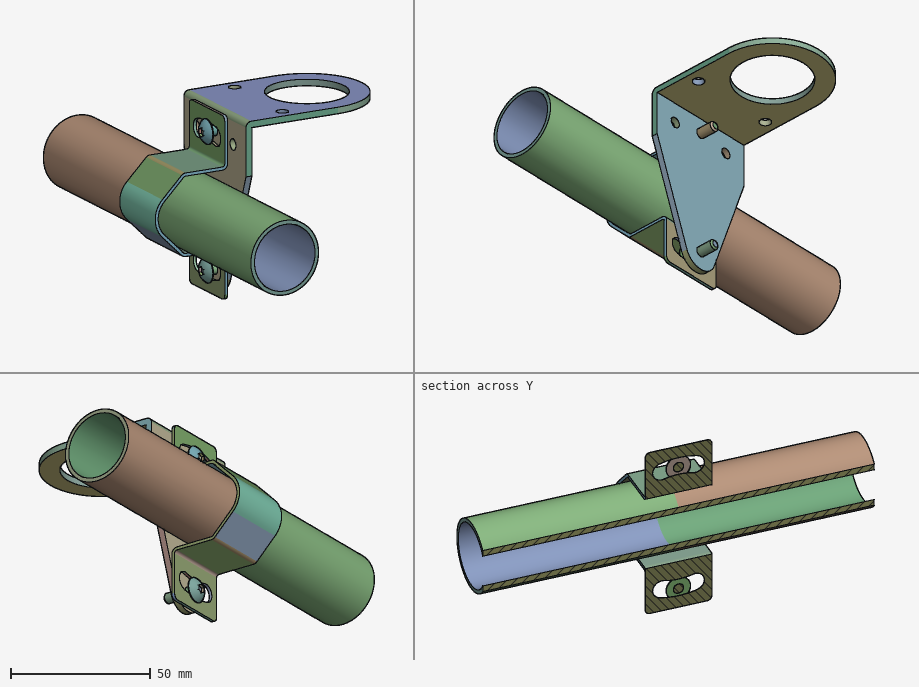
import cadquery as cq
import math


tube_length = 152.0
tube_diameter = 28.0
tube_wall = 1.5
tube_radius = tube_diameter / 2

bracket_width = 45.5
bracket_thickness = 2.5
bracket_bend_radius = 2.2
bracket_top = 35.0
bracket_front = tube_radius
ring_distance = 38.0
ring_hole_diameter = 30.5
flange_hole_diameter = 4.5
flange_hole_spacing = 35.0
flange_hole_distance = 18.0
taper_start = 20.6
web_tip_radius = 7.6
web_hole_diameter = 4.2
web_hole_spacing = 26.5
web_hole_height = 24.1

screw_height = 26.0
screw_diameter = 4.0
screw_tip_chamfer = 0.7
screw_projection = 9.8
head_diameter = 9.5
head_height = 2.75
head_rim = 0.3
socket_width = 3.0
socket_depth = 1.3

clamp_width = 26.0
clamp_height = 69.0
clamp_thickness = 1.2
clamp_center = 0.5
clamp_gap = 2.05
clamp_opening = 29.0
clamp_reach = 31.95
nose_radius = 10.0
bend_radius = 1.0
foot_corner_radius = 2.0
slot_width = 7.0
slot_half_angle = 14.5

foot_back = bracket_front - clamp_gap
foot_front = foot_back - clamp_thickness


def make_tube():
    outer = cq.Workplane("YZ").circle(tube_radius).circle(tube_radius - tube_wall)
    return outer.extrude(tube_length / 2, both=True)


def make_flange():
    """Horizontal leg with a round end, a large hole and two small holes."""
    half_width = bracket_width / 2
    ring_y = bracket_front + ring_distance
    flange = (
        cq.Workplane("XY", origin=(0, 0, bracket_top))
        .moveTo(-half_width, bracket_front)
        .lineTo(half_width, bracket_front)
        .lineTo(half_width, ring_y)
        .threePointArc((0, ring_y + half_width), (-half_width, ring_y))
        .close()
        .extrude(-bracket_thickness)
    )
    small_hole_y = bracket_front + flange_hole_distance
    holes = (
        cq.Workplane("XY", origin=(0, 0, bracket_top))
        .pushPoints([(0, ring_y)])
        .circle(ring_hole_diameter / 2)
        .pushPoints([(side * flange_hole_spacing / 2, small_hole_y) for side in (-1, 1)])
        .circle(flange_hole_diameter / 2)
        .extrude(-bracket_thickness)
    )
    return flange.cut(holes)


def make_web():
    """Vertical leg whose sides taper tangentially into a round tip about the lower screw."""
    half_width = bracket_width / 2
    shoulder_z = bracket_top - taper_start
    drop = shoulder_z + screw_height
    taper_angle = math.atan2(half_width, drop) - math.asin(web_tip_radius / math.hypot(half_width, drop))
    tangent_x = web_tip_radius * math.cos(taper_angle)
    tangent_z = -screw_height - web_tip_radius * math.sin(taper_angle)
    web = (
        cq.Workplane("XZ", origin=(0, bracket_front, 0))
        .moveTo(-half_width, bracket_top)
        .lineTo(half_width, bracket_top)
        .lineTo(half_width, shoulder_z)
        .lineTo(tangent_x, tangent_z)
        .threePointArc((0, -screw_height - web_tip_radius), (-tangent_x, tangent_z))
        .lineTo(-half_width, shoulder_z)
        .close()
        .extrude(-bracket_thickness)
    )
    holes = (
        cq.Workplane("XZ", origin=(0, bracket_front, 0))
        .pushPoints([(side * web_hole_spacing / 2, web_hole_height) for side in (-1, 1)])
        .circle(web_hole_diameter / 2)
        .extrude(-bracket_thickness)
    )
    return web.cut(holes)


def make_bracket():
    bend_edge = cq.selectors.NearestToPointSelector((0, bracket_front, bracket_top))
    return make_flange().union(make_web()).edges(bend_edge).fillet(bracket_bend_radius)


def clamp_profile(offset):
    """Points of one side of the strip, upper half, from foot end to nose.

    offset is 0 for the inner side of the strip and clamp_thickness for the outer side.
    """
    foot_y = foot_back - offset
    top_z = clamp_opening / 2 + offset
    radius = nose_radius - clamp_thickness + offset
    nose_y = bracket_front - clamp_reach + nose_radius
    corner_y = nose_y - radius * math.sqrt(2) + top_z
    tangent = radius * math.sqrt(0.5)
    return [
        (foot_y, clamp_height / 2),
        (foot_y, top_z),
        (corner_y, top_z),
        (nose_y - tangent, tangent),
        (nose_y - radius, 0),
    ]


def mirrored(point):
    y, z = point
    return (y, -z)


def fillet_bends(strip, corners, radius):
    """Round the bends at the given (y, z) corners and at their mirror images below."""
    for y, z in corners:
        for side in (-1, 1):
            edge = cq.selectors.NearestToPointSelector((0, y, side * z))
            strip = strip.edges(edge).fillet(radius)
    return strip


def make_clamp():
    inner = clamp_profile(0)
    outer = clamp_profile(clamp_thickness)
    inner_nose = inner.pop()
    outer_nose = outer.pop()
    outline = cq.Workplane("YZ").polyline(inner)
    outline = outline.threePointArc(inner_nose, mirrored(inner[-1]))
    for point in inner[-2::-1] + outer:
        outline = outline.lineTo(*mirrored(point))
    outline = outline.threePointArc(outer_nose, outer[-1])
    for point in outer[-2::-1]:
        outline = outline.lineTo(*point)
    strip = outline.close().extrude(clamp_width / 2, both=True)

    inner_heel, inner_shoulder = inner[1:3]
    outer_heel, outer_shoulder = outer[1:3]
    strip = fillet_bends(strip, [outer_heel, inner_shoulder], bend_radius)
    strip = fillet_bends(strip, [inner_heel, outer_shoulder], bend_radius + clamp_thickness)
    strip = strip.edges("|Y").edges("<Z or >Z").fillet(foot_corner_radius)
    for turn in (0, 180):
        strip = strip.cut(make_slot().rotate((0, 0, 0), (0, 1, 0), turn))
    return strip.translate((0, 0, clamp_center))


def make_slot():
    """Cutter for the upper curved slot, concentric with the clamp's centre."""
    half = slot_width / 2
    angle = math.radians(slot_half_angle)

    def at(radius, turn):
        return (radius * math.sin(turn), radius * math.cos(turn))

    inner = screw_height - half
    outer = screw_height + half
    end_x, end_z = at(screw_height, angle)
    cap = (end_x + half * math.cos(angle), end_z - half * math.sin(angle))
    return (
        cq.Workplane("XZ", origin=(0, foot_back, 0))
        .moveTo(*at(outer, -angle))
        .threePointArc(at(outer, 0), at(outer, angle))
        .threePointArc(cap, at(inner, angle))
        .threePointArc(at(inner, 0), at(inner, -angle))
        .threePointArc((-cap[0], cap[1]), at(outer, -angle))
        .close()
        .extrude(clamp_thickness)
    )


def make_screw(z):
    """Screw along Y with a domed, hex-socket head resting on the clamp foot."""
    tip_y = bracket_front + screw_projection
    shank_radius = screw_diameter / 2
    head_radius = head_diameter / 2
    rim_y = foot_front - head_rim
    apex_y = foot_front - head_height
    dome_height = head_height - head_rim
    dome_radius = (head_radius**2 + dome_height**2) / (2 * dome_height)
    middle_radius = head_radius / 2
    middle_y = apex_y + dome_radius - math.sqrt(dome_radius**2 - middle_radius**2)
    screw = (
        cq.Workplane("XY", origin=(0, 0, z))
        .moveTo(0, tip_y)
        .lineTo(shank_radius - screw_tip_chamfer, tip_y)
        .lineTo(shank_radius, tip_y - screw_tip_chamfer)
        .lineTo(shank_radius, foot_front)
        .lineTo(head_radius, foot_front)
        .lineTo(head_radius, rim_y)
        .threePointArc((middle_radius, middle_y), (0, apex_y))
        .close()
        .revolve(360, (0, 0, 0), (0, 1, 0))
    )
    socket = (
        cq.Workplane("XZ", origin=(0, apex_y, z))
        .polygon(6, socket_width / math.cos(math.pi / 6))
        .extrude(-socket_depth)
        .rotate((0, 0, z), (0, 1, z), 90)
    )
    return screw.cut(socket)


mount = make_bracket().union(make_clamp())
for height in (-screw_height, screw_height):
    mount = mount.union(make_screw(height))
tube = make_tube()
result = cq.Compound.makeCompound([tube.val(), mount.solids().val()])